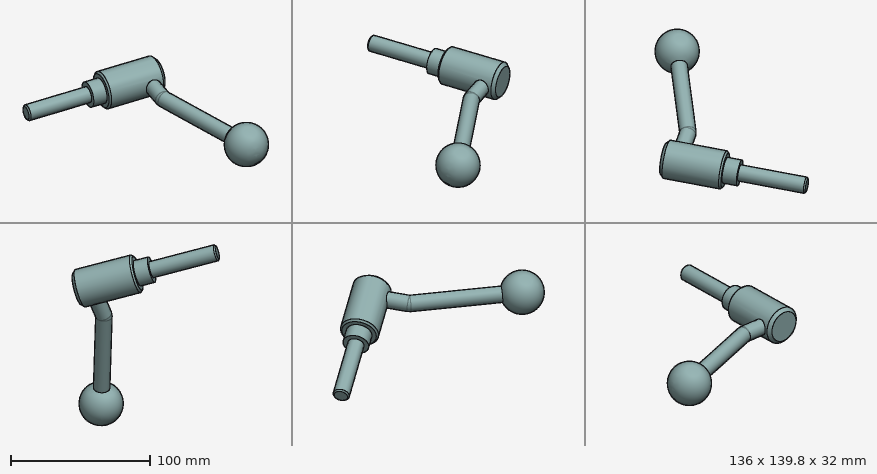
import cadquery as cq
import math

total_length = 139.8
stud_diameter = 12.0
stud_length = 49.9
stud_chamfer = 1.1
collar_diameter = 19.0
collar_length = 10.6
hub_diameter = 28.1
hub_length = 45.9
hub_front_chamfer = 1.4
hub_rear_chamfer = 2.5

arm_diameter = 12.0
bend_radius = 2.8
arm_angle = 20.0
ball_diameter = 32.0
overall_width = 136.0

collar_start = stud_length
hub_start = collar_start + collar_length
ball_x = overall_width - (hub_diameter + ball_diameter) / 2
ball_y = total_length - ball_diameter / 2
bend_x = 29.2
bend_y = ball_y - (ball_x - bend_x) * math.tan(math.radians(arm_angle))


def cylinder_along_y(diameter, start, length):
    plane = cq.Workplane("XZ", origin=(0, start, 0))
    return plane.circle(diameter / 2).extrude(-length)


def make_spindle():
    stud = cylinder_along_y(stud_diameter, 0, stud_length)
    stud = stud.faces("<Y").chamfer(stud_chamfer)
    collar = cylinder_along_y(collar_diameter, collar_start, collar_length)
    hub = cylinder_along_y(hub_diameter, hub_start, hub_length)
    hub = hub.faces("<Y").chamfer(hub_front_chamfer)
    hub = hub.faces(">Y").chamfer(hub_rear_chamfer)
    return stud.union(collar).union(hub)


def make_arm():
    """Two straight round bars, joined by a tight elbow on the outer side of the bend."""
    arm_radius = arm_diameter / 2
    angle = math.radians(arm_angle)
    tangent_length = bend_radius * math.tan(angle / 2)
    elbow_start_x = bend_x - tangent_length
    elbow_end_x = bend_x + tangent_length * math.cos(angle)
    elbow_end_y = bend_y + tangent_length * math.sin(angle)

    stub = cq.Workplane("YZ", origin=(0, bend_y, 0)).circle(arm_radius).extrude(elbow_start_x)

    bar_plane = cq.Plane(
        origin=(elbow_end_x, elbow_end_y, 0),
        xDir=(0, 0, 1),
        normal=(math.cos(angle), math.sin(angle), 0),
    )
    bar_length = math.hypot(ball_x - elbow_end_x, ball_y - elbow_end_y)
    bar = cq.Workplane(bar_plane).circle(arm_radius).extrude(bar_length)

    half_chord = math.sqrt(arm_radius**2 - bend_radius**2)
    section = cq.Workplane("YZ", origin=(elbow_start_x, bend_y, 0)).moveTo(bend_radius, -half_chord)
    section = section.threePointArc((-arm_radius, 0), (bend_radius, half_chord)).close()
    elbow = section.revolve(arm_angle, (bend_radius, 0), (bend_radius, 1))
    return stub.union(elbow).union(bar)


def make_ball():
    return cq.Workplane("XY").sphere(ball_diameter / 2).translate((ball_x, ball_y, 0))


result = make_spindle().union(make_arm()).union(make_ball())